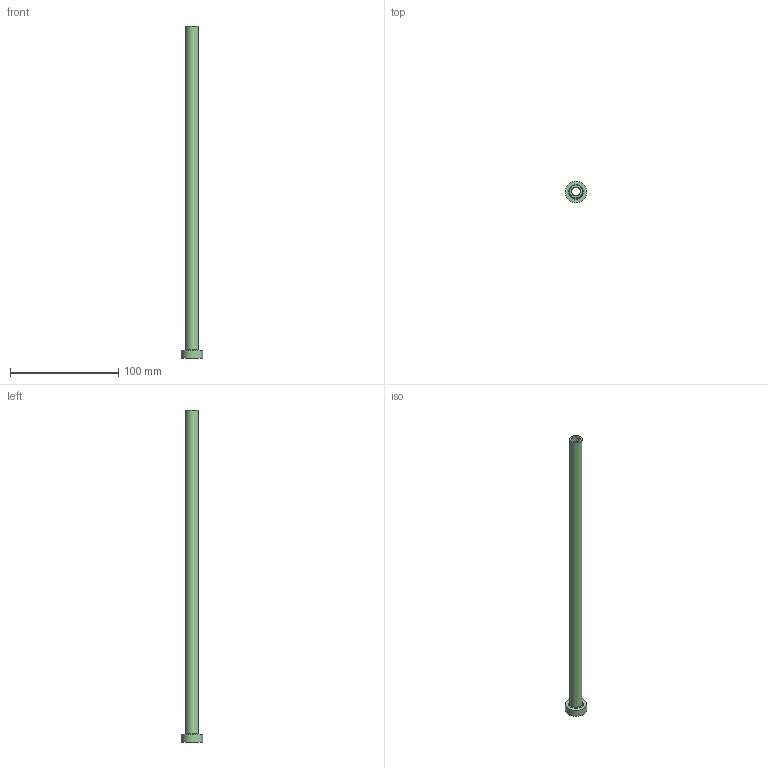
import cadquery as cq

overall_length = 307.0
head_diameter = 20.0
head_height = 7.0
shank_diameter = 12.0
bore_diameter = 8.0
root_fillet_radius = 0.8

head_radius = head_diameter / 2
shank_radius = shank_diameter / 2
bore_radius = bore_diameter / 2


def sleeve_profile():
    """Half section in the XZ plane, on the -X side of the axis."""
    return (
        cq.Workplane("XZ")
        .moveTo(-bore_radius, 0)
        .lineTo(-head_radius, 0)
        .lineTo(-head_radius, head_height)
        .lineTo(-(shank_radius + root_fillet_radius), head_height)
        .radiusArc((-shank_radius, head_height + root_fillet_radius), -root_fillet_radius)
        .lineTo(-shank_radius, overall_length)
        .lineTo(-bore_radius, overall_length)
        .close()
    )


result = sleeve_profile().revolve(360, (0, 0), (0, 1))